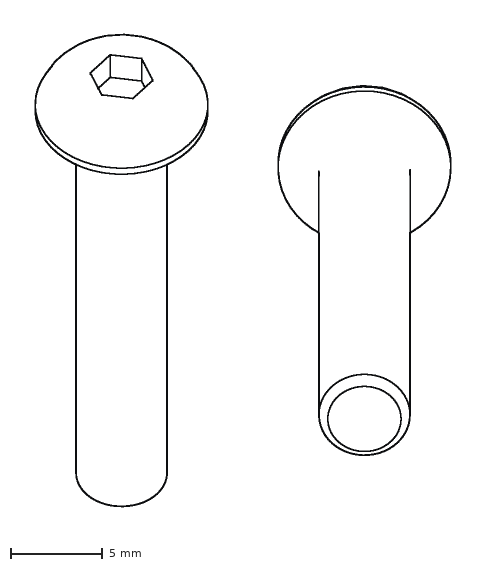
import cadquery as cq
import math

total_length = 32.75
head_diameter = 9.5
head_height = 2.75
rim_height = 0.5
dome_radius = 3.1
top_flat_diameter = 4.25
shank_diameter = 5.0
neck_fillet = 0.15
tip_chamfer = 0.5
socket_across_flats = 3.0
socket_depth = 1.85

head_radius = head_diameter / 2
top_flat_radius = top_flat_diameter / 2
shank_radius = shank_diameter / 2
shank_length = total_length - head_height
rim_top = shank_length + rim_height


def dome_midpoint():
    """Return the point halfway along the dome arc, as (radius, height)."""
    run = head_radius - top_flat_radius
    rise = total_length - rim_top
    chord = math.hypot(run, rise)
    bulge = dome_radius - math.sqrt(dome_radius**2 - (chord / 2) ** 2)
    radius = (head_radius + top_flat_radius) / 2 + bulge * rise / chord
    height = (rim_top + total_length) / 2 + bulge * run / chord
    return radius, height


def screw_body():
    """Revolve the half profile of the shank and domed head about Z."""
    fillet_shift = neck_fillet * (1 - math.sqrt(0.5))
    fillet_midpoint = (shank_radius + fillet_shift, shank_length - fillet_shift)
    return (
        cq.Workplane("XZ")
        .moveTo(0, 0)
        .lineTo(shank_radius - tip_chamfer, 0)
        .lineTo(shank_radius, tip_chamfer)
        .lineTo(shank_radius, shank_length - neck_fillet)
        .threePointArc(fillet_midpoint, (shank_radius + neck_fillet, shank_length))
        .lineTo(head_radius, shank_length)
        .lineTo(head_radius, rim_top)
        .threePointArc(dome_midpoint(), (top_flat_radius, total_length))
        .lineTo(0, total_length)
        .close()
        .revolve(360, (0, 0, 0), (0, 1, 0))
    )


def hex_socket():
    """Hexagonal cutter with two corners on the Y axis."""
    across_corners = socket_across_flats / math.cos(math.pi / 6)
    return (
        cq.Workplane("XY")
        .workplane(offset=total_length - socket_depth)
        .polygon(6, across_corners)
        .extrude(socket_depth)
        .rotate((0, 0, 0), (0, 0, 1), 90)
    )


result = screw_body().cut(hex_socket())